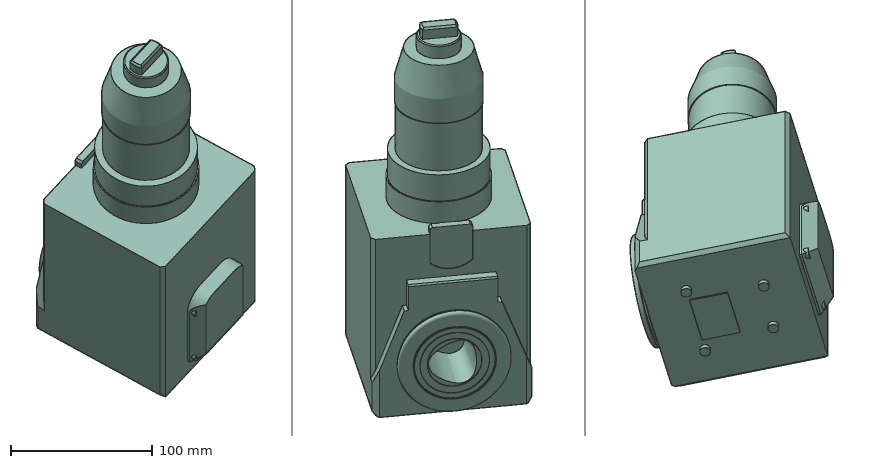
import cadquery as cq
import math


BLOCK_X_MIN = -50.3
BLOCK_X_MAX = 56.0
BLOCK_WIDTH = 115.0
BLOCK_HEIGHT = 143.5
BLOCK_CHAMFER = 3.0

PAD_X_MIN = -57.8
PAD_TOP_HALF_WIDTH = 32.2
PAD_LEDGE_HALF_WIDTH = 35.2
PAD_TOP_Z = 107.5
PAD_LEDGE_Z = 86.5
PAD_SHOULDER_Z = 26.7
PAD_CORNER_CHAMFER = 4.6
PAD_TOP_CHAMFER = 1.2

CLIP_X_MIN = -50.8
CLIP_THICKNESS = 5.5
CLIP_HALF_WIDTH = 15.5
CLIP_TOP_Z = 149.3
CLIP_SIDE_Z = 120.0
CLIP_BOTTOM_Z = 114.0
CLIP_CHAMFER = 1.7

FLANGE_X_MIN = -64.8
FLANGE_Z = 44.0
FLANGE_DIAMETER = 82.0
FLANGE_THICKNESS = 3.8
FLANGE_ROUNDING = 2.0
NECK_DIAMETER = 75.0
COLLAR_DIAMETER = 80.0
COLLAR_THICKNESS = 1.2
FACE_GROOVE_DIAMETER = 59.0
FACE_GROOVE_WIDTH = 1.0
FACE_GROOVE_DEPTH = 1.0
FACE_STEP_DIAMETERS = (50.0, 39.2)
FACE_STEP_DEPTH = 0.5
BORE_DEPTH = 40.7
BORE_TAPER_RATIO = 1 / 20
BORE_LOBE_REACH = 19.0
BORE_FLANK_REACH = 16.0
BORE_LOBE_RADIUS = 11.0

TOWER_STEPS = ((75.0, 18.0), (73.0, 39.8), (62.0, 79.3), (63.0, 99.5))
TAPER_TOP_DIAMETER = 50.0
TAPER_TOP = 123.8
SPIGOT_DIAMETER = 32.0
SPIGOT_TOP = 134.5
SPIGOT_CHAMFER = 1.0
KEY_WIDTH = 10.5
KEY_LENGTH = 27.0
KEY_CHAMFER = 1.5

BOSS_LENGTH = 12.2
BOSS_BASE_THICKNESS = 1.7
BOSS_TOP_Z = 82.5
BOSS_BASE_HALF_WIDTH = 28.0
BOSS_BASE_BOTTOM_Z = 13.7
BOSS_FACE_HALF_WIDTH = 22.5
BOSS_FACE_BOTTOM_Z = 24.0
BOSS_TOP_FLAT_HALF_WIDTH = 11.5
BOSS_CORNER_RADIUS = 16.5
PIN_DIAMETER = 7.5
PIN_HEIGHT = 6.0
PIN_Y = 23.5
PIN_LEVELS = (19.2, 67.7)

FOOT_DIAMETER = 7.5
FOOT_HEIGHT = 3.5
FOOT_CENTRES = ((-26.7, 27.3), (-26.7, -27.3), (25.3, 19.0), (28.0, -19.0))
PLATE_X_MIN = -26.7
PLATE_X_MAX = 1.2
PLATE_WIDTH = 36.5
PLATE_THICKNESS = 1.2

OVERALL_HEIGHT = 290.5
KEY_TOP_Z = OVERALL_HEIGHT - FOOT_HEIGHT


def box(x_min, x_max, width, z_min, z_max):
    """Box centred on Y = 0."""
    return cq.Workplane("XY").box(
        x_max - x_min, width, z_max - z_min, centered=(False, True, False)
    ).translate((x_min, 0, z_min))


def disc_x(x_min, thickness, diameter):
    """Disc on the spindle axis, growing toward +X."""
    return cq.Workplane("YZ", origin=(x_min, 0, FLANGE_Z)).circle(diameter / 2).extrude(thickness)


def make_block():
    """Chamfered housing block with the shouldered pad on its -X face."""
    block = box(BLOCK_X_MIN, BLOCK_X_MAX, BLOCK_WIDTH, 0, BLOCK_HEIGHT).edges("|Z").chamfer(BLOCK_CHAMFER)

    half_width = BLOCK_WIDTH / 2
    right_side = [
        (half_width, 0),
        (half_width, PAD_SHOULDER_Z),
        (PAD_LEDGE_HALF_WIDTH, PAD_LEDGE_Z),
        (PAD_TOP_HALF_WIDTH, PAD_LEDGE_Z),
        (PAD_TOP_HALF_WIDTH, PAD_TOP_Z),
    ]
    left_side = [(-y, z) for y, z in reversed(right_side)]
    pad_overlap = 2 * BLOCK_CHAMFER
    pad_depth = BLOCK_X_MIN + pad_overlap - PAD_X_MIN
    pad = (
        cq.Workplane("YZ", origin=(PAD_X_MIN, 0, 0))
        .polyline(right_side + left_side)
        .close()
        .extrude(pad_depth)
    )
    pad = pad.faces(">Z").edges("<X").chamfer(PAD_TOP_CHAMFER)
    corner_envelope = (
        box(PAD_X_MIN, BLOCK_X_MAX, BLOCK_WIDTH, 0, BLOCK_HEIGHT)
        .edges("|Z and <X")
        .chamfer(PAD_CORNER_CHAMFER)
    )
    housing = block.union(pad.intersect(corner_envelope))

    underside_envelope = (
        box(PAD_X_MIN, BLOCK_X_MAX, BLOCK_WIDTH, 0, BLOCK_HEIGHT)
        .edges("|X and <Z")
        .chamfer(BLOCK_CHAMFER)
    )
    return housing.intersect(underside_envelope)


def make_clip():
    """Clip plate with a curved lower end, standing a little proud of the block."""
    return (
        cq.Workplane("YZ", origin=(CLIP_X_MIN, 0, 0))
        .moveTo(-CLIP_HALF_WIDTH, CLIP_SIDE_Z)
        .threePointArc((0, CLIP_BOTTOM_Z), (CLIP_HALF_WIDTH, CLIP_SIDE_Z))
        .lineTo(CLIP_HALF_WIDTH, CLIP_TOP_Z)
        .lineTo(-CLIP_HALF_WIDTH, CLIP_TOP_Z)
        .close()
        .extrude(CLIP_THICKNESS)
        .faces(">Z")
        .edges("|X")
        .chamfer(CLIP_CHAMFER)
    )


def make_flange():
    """Round-edged flange on a narrower neck and a thin collar."""
    neck_end = PAD_X_MIN - FLANGE_X_MIN
    rim = disc_x(FLANGE_X_MIN, FLANGE_THICKNESS, FLANGE_DIAMETER).edges("<X").fillet(FLANGE_ROUNDING)
    neck = disc_x(FLANGE_X_MIN, neck_end, NECK_DIAMETER)
    collar = disc_x(PAD_X_MIN - COLLAR_THICKNESS, COLLAR_THICKNESS, COLLAR_DIAMETER)
    return rim.union(neck).union(collar)


def make_face_groove():
    outer = disc_x(FLANGE_X_MIN, FACE_GROOVE_DEPTH, FACE_GROOVE_DIAMETER + FACE_GROOVE_WIDTH)
    inner = disc_x(FLANGE_X_MIN, FACE_GROOVE_DEPTH, FACE_GROOVE_DIAMETER - FACE_GROOVE_WIDTH)
    return outer.cut(inner)


def polar(radius, degrees):
    angle = math.radians(degrees)
    return (radius * math.cos(angle), radius * math.sin(angle))


def make_bore():
    """Tapered three-lobe bore: tight lobe arcs joined tangentially by wide flank arcs."""
    lobe_offset = BORE_LOBE_REACH - BORE_LOBE_RADIUS
    reach_gap = BORE_FLANK_REACH - BORE_LOBE_RADIUS
    flank_offset = (lobe_offset**2 - reach_gap**2) / (2 * reach_gap - lobe_offset)
    flank_centre = polar(flank_offset, -120)
    tangent = math.degrees(math.atan2(-flank_centre[1], lobe_offset - flank_centre[0]))

    def lobe_point(lobe_angle, side):
        centre = polar(lobe_offset, lobe_angle)
        step = polar(BORE_LOBE_RADIUS, lobe_angle + side * tangent)
        return (centre[0] + step[0], centre[1] + step[1])

    outline = cq.Workplane("YZ", origin=(FLANGE_X_MIN, 0, FLANGE_Z)).moveTo(*lobe_point(0, -1))
    for lobe_angle in (0, 120, 240):
        outline = outline.threePointArc(polar(BORE_LOBE_REACH, lobe_angle), lobe_point(lobe_angle, 1))
        outline = outline.threePointArc(
            polar(BORE_FLANK_REACH, lobe_angle + 60), lobe_point(lobe_angle + 120, -1)
        )
    wall_angle = math.degrees(math.atan(BORE_TAPER_RATIO / 2))
    return outline.close().extrude(BORE_DEPTH, taper=wall_angle)


def make_tower():
    """Stepped tower with a tapered shoulder and a spigot, turned about the Z axis."""
    half_section = [(0, 0)]
    bottom = 0
    for diameter, top in TOWER_STEPS:
        half_section += [(diameter / 2, bottom), (diameter / 2, top)]
        bottom = top
    half_section += [
        (TAPER_TOP_DIAMETER / 2, TAPER_TOP),
        (SPIGOT_DIAMETER / 2, TAPER_TOP),
        (SPIGOT_DIAMETER / 2, SPIGOT_TOP - SPIGOT_CHAMFER),
        (SPIGOT_DIAMETER / 2 - SPIGOT_CHAMFER, SPIGOT_TOP),
        (0, SPIGOT_TOP),
    ]
    return (
        cq.Workplane("XZ", origin=(0, 0, BLOCK_HEIGHT))
        .polyline(half_section)
        .close()
        .revolve(360, (0, 0, 0), (0, 1, 0))
    )


def make_key():
    """Drive key across the spigot, with ends rounded about the tower axis."""
    key_bottom = BLOCK_HEIGHT + TAPER_TOP
    bar = box(-KEY_WIDTH / 2, KEY_WIDTH / 2, KEY_LENGTH, key_bottom, KEY_TOP_Z)
    round_ends = (
        cq.Workplane("XY", origin=(0, 0, key_bottom))
        .circle(KEY_LENGTH / 2)
        .extrude(KEY_TOP_Z - key_bottom)
    )
    return bar.intersect(round_ends).faces(">Z").chamfer(KEY_CHAMFER)


def make_boss():
    """Connector boss with drafted sides and underside, rounded top corners and four pins."""
    base_end = BLOCK_X_MAX + BOSS_BASE_THICKNESS
    face_x = BLOCK_X_MAX + BOSS_LENGTH

    def section(x, half_width, bottom):
        return (
            cq.Workplane("YZ", origin=(x, 0, (BOSS_TOP_Z + bottom) / 2))
            .rect(2 * half_width, BOSS_TOP_Z - bottom)
            .wires()
            .val()
        )

    drafted = cq.Workplane(
        cq.Solid.makeLoft(
            [
                section(base_end, BOSS_BASE_HALF_WIDTH, BOSS_BASE_BOTTOM_Z),
                section(face_x, BOSS_FACE_HALF_WIDTH, BOSS_FACE_BOTTOM_Z),
            ],
            True,
        )
    )
    base = box(BLOCK_X_MAX, base_end, 2 * BOSS_BASE_HALF_WIDTH, BOSS_BASE_BOTTOM_Z, BOSS_TOP_Z)
    rounded_width = 2 * (BOSS_TOP_FLAT_HALF_WIDTH + BOSS_CORNER_RADIUS)
    envelope = (
        box(BLOCK_X_MAX, face_x, rounded_width, BOSS_BASE_BOTTOM_Z, BOSS_TOP_Z)
        .edges("|X and >Z")
        .fillet(BOSS_CORNER_RADIUS)
    )
    boss = base.union(drafted).intersect(envelope)
    pins = (
        cq.Workplane("YZ", origin=(BLOCK_X_MAX, 0, 0))
        .pushPoints([(y, z) for y in (-PIN_Y, PIN_Y) for z in PIN_LEVELS])
        .circle(PIN_DIAMETER / 2)
        .extrude(PIN_HEIGHT)
    )
    return boss.union(pins)


def make_underside():
    """Four round feet and a thin plate below the block."""
    feet = cq.Workplane("XY").pushPoints(FOOT_CENTRES).circle(FOOT_DIAMETER / 2).extrude(-FOOT_HEIGHT)
    return feet.union(box(PLATE_X_MIN, PLATE_X_MAX, PLATE_WIDTH, -PLATE_THICKNESS, 0))



result = make_block()
for feature in (make_clip(), make_flange(), make_tower(), make_key(), make_boss(), make_underside()):
    result = result.union(feature)

result = result.cut(make_face_groove())
for step, diameter in enumerate(FACE_STEP_DIAMETERS, start=1):
    result = result.cut(disc_x(FLANGE_X_MIN, step * FACE_STEP_DEPTH, diameter))
result = result.cut(make_bore())